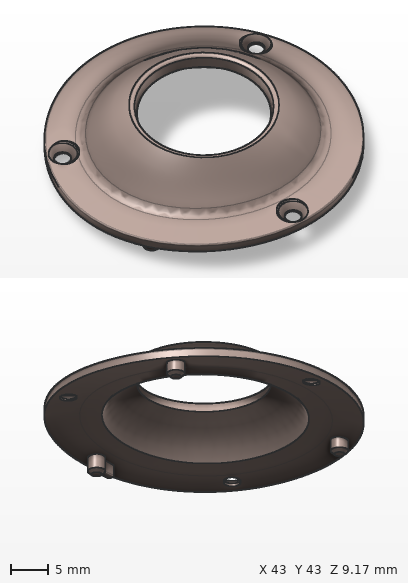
import cadquery as cq
import math

dome_radius = 20.15
cavity_radius = 16.7
cavity_center_z = 1.75
overall_height = 9.17

lip_radius = 10.1
lip_round_inner_radius = 9.37
lip_round_drop = 0.26
lip_crown = 0.08
bore_bottom_radius = 9.0

rim_radius = 21.5
flange_thickness = 1.28
rim_round = 0.2
root_fillet = 2.0

rim_drop = 5.97
crown_rise = 1.1
tilt_rise, tilt_direction = 0.415, -28.0
saddle_rise, saddle_direction = 0.324, -50.0
triple_rise, triple_direction = 0.146, -60.0
surface_samples = 13
patch_margin = 2.0
surface_tolerance = 0.005

fastener_circle_radius = 19.25
screw_angles = (90, 210, 330)
pin_angles = (30, 150, 270)

screw_hole_radius = 1.15
countersink_radius = 2.0
bevel_radius = 2.25
bevel_depth = 0.12

pin_radius = 1.2
pin_tip_radius = 0.7
pin_tip_length = 0.47

key_pin_angle = 270
key_length = 3.1
key_width = 1.0
key_edge_round = 0.25

cutter_overrun = 1.0

patch_half_width = rim_radius + patch_margin
lip_z = math.sqrt(dome_radius**2 - lip_radius**2)
pin_tip_z = lip_z - overall_height
pin_shoulder_z = pin_tip_z + pin_tip_length
bore_bottom_z = cavity_center_z + math.sqrt(cavity_radius**2 - bore_bottom_radius**2)
lip_crest_radius = (lip_radius + lip_round_inner_radius) / 2
lip_crest_z = lip_z - lip_round_drop / 2 + lip_crown


def flange_height(x, y):
    """Height of the flange's warped top surface above the dome centre."""
    reach = math.hypot(x, y) / rim_radius
    angle = math.atan2(y, x)

    def wave(count, direction):
        return reach**count * math.cos(count * (angle - math.radians(direction)))

    crown = crown_rise * (1 - reach**2)
    tilt = tilt_rise * wave(1, tilt_direction)
    saddle = saddle_rise * wave(2, saddle_direction)
    triple = triple_rise * wave(3, triple_direction)
    return lip_z - rim_drop + crown + tilt + saddle + triple


def polar_point(angle):
    """Point of the fastener circle at the given angle."""
    turn = math.radians(angle)
    return fastener_circle_radius * math.cos(turn), fastener_circle_radius * math.sin(turn)


def warped_slab(drop, depth):
    """Slab whose top is the flange surface lowered by drop, extruded down by depth."""
    step = 2 * patch_half_width / (surface_samples - 1)
    stations = [i * step - patch_half_width for i in range(surface_samples)]
    grid = [[cq.Vector(x, y, flange_height(x, y) - drop) for y in stations] for x in stations]
    face = cq.Face.makeSplineApprox(grid, tol=surface_tolerance, minDeg=3, maxDeg=5)
    return cq.Workplane(cq.Solid.extrudeLinear(face, cq.Vector(0, 0, -depth)))


def revolved(profile):
    """Solid of revolution about Z of an open XZ-plane profile."""
    return profile.close().revolve(360, (0, 0, 0), (0, 1, 0))


def make_flange():
    disc = cq.Workplane("XY").circle(rim_radius).extrude(lip_z)
    return warped_slab(0, flange_thickness).intersect(disc)


def make_dome():
    """Solid spherical cap standing on the underside of the flange."""
    cap = cq.Workplane("XY").sphere(dome_radius)
    below = warped_slab(flange_thickness, 2 * dome_radius)
    above = cq.Workplane("XY").workplane(offset=lip_z).circle(rim_radius).extrude(dome_radius)
    return cap.cut(below).cut(above)


def round_edges(body):
    """Blend the dome into the flange and round the top edge of the rim."""
    closed = [edge for edge in body.edges().vals() if edge.IsClosed()]
    closed.sort(key=lambda edge: edge.Length())
    root = closed[1]
    rim_top = max(closed[-2:], key=lambda edge: edge.Center().z)
    blended = body.newObject([root]).fillet(root_fillet)
    return blended.newObject([rim_top]).fillet(rim_round)


def make_opening():
    """Cutter for the rounded lip, the tapered bore and the spherical cavity."""
    bore_top_z = lip_z - lip_round_drop
    bore = revolved(
        cq.Workplane("XZ")
        .moveTo(0, 0)
        .lineTo(bore_bottom_radius, 0)
        .lineTo(bore_bottom_radius, bore_bottom_z)
        .lineTo(lip_round_inner_radius, bore_top_z)
        .threePointArc((lip_crest_radius, lip_crest_z), (lip_radius, lip_z))
        .lineTo(lip_radius, lip_z + cutter_overrun)
        .lineTo(0, lip_z + cutter_overrun)
    )
    return bore.union(cq.Workplane("XY").sphere(cavity_radius).translate((0, 0, cavity_center_z)))


def make_countersunk_hole(x, y):
    """Cutter for one screw hole: through hole, 90 degree countersink and edge bevel."""
    surface_z = flange_height(x, y)
    bevel_bottom = surface_z - bevel_depth
    cone_bottom = bevel_bottom - (countersink_radius - screw_hole_radius)
    profile = (
        cq.Workplane("XZ")
        .moveTo(0, 0)
        .lineTo(screw_hole_radius, 0)
        .lineTo(screw_hole_radius, cone_bottom)
        .lineTo(countersink_radius, bevel_bottom)
        .lineTo(bevel_radius, surface_z)
        .lineTo(bevel_radius, lip_z)
        .lineTo(0, lip_z)
    )
    return revolved(profile).translate((x, y, 0))


def make_pin(x, y):
    """Locating pin with a conical tip, reaching up into the flange."""
    root_z = flange_height(x, y) - flange_thickness / 2
    profile = (
        cq.Workplane("XZ")
        .moveTo(0, pin_tip_z)
        .lineTo(pin_tip_radius, pin_tip_z)
        .lineTo(pin_radius, pin_shoulder_z)
        .lineTo(pin_radius, root_z)
        .lineTo(0, root_z)
    )
    return revolved(profile).translate((x, y, 0))


def make_key(x, y):
    """Rounded rib that extends one pin towards -X."""
    root_z = flange_height(x, y) - flange_thickness / 2
    return (
        cq.Workplane("XY")
        .box(key_length, key_width, root_z - pin_shoulder_z, centered=(False, True, False))
        .edges("<X or <Z")
        .fillet(key_edge_round)
        .translate((x - key_length, y, pin_shoulder_z))
    )


body = round_edges(make_flange().union(make_dome()))
body = body.cut(make_opening())
for angle in screw_angles:
    body = body.cut(make_countersunk_hole(*polar_point(angle)))
for angle in pin_angles:
    body = body.union(make_pin(*polar_point(angle)))
result = body.union(make_key(*polar_point(key_pin_angle)))